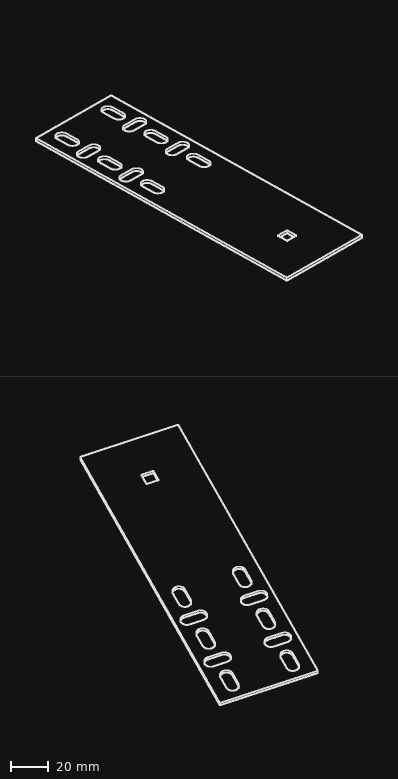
import cadquery as cq

plate_length = 188.0
plate_width = 57.0
plate_thickness = 2.0

slot_length = 15.0
slot_width = 7.0
slots_per_row = 5
slot_pitch = 16.0
first_slot_from_end = 12.5
slot_row_offset = 17.5

square_side = 7.0
square_from_end = 28.0

plate_left = -plate_length / 2
plate_right = plate_length / 2


def make_plate():
    return cq.Workplane("XY").box(plate_length, plate_width, plate_thickness, centered=(True, True, False))


def slot_cutter(x, y, angle):
    return cq.Workplane("XY").center(x, y).slot2D(slot_length, slot_width, angle).extrude(plate_thickness)


def cut_slots(plate):
    for row_y in (-slot_row_offset, slot_row_offset):
        for index in range(slots_per_row):
            slot_x = plate_left + first_slot_from_end + index * slot_pitch
            is_crosswise = index % 2 == 1
            angle = 90 if is_crosswise else 0
            plate = plate.cut(slot_cutter(slot_x, row_y, angle))
    return plate


def cut_square_hole(plate):
    square_x = plate_right - square_from_end
    cutter = cq.Workplane("XY").center(square_x, 0).rect(square_side, square_side).extrude(plate_thickness)
    return plate.cut(cutter)


result = cut_square_hole(cut_slots(make_plate()))